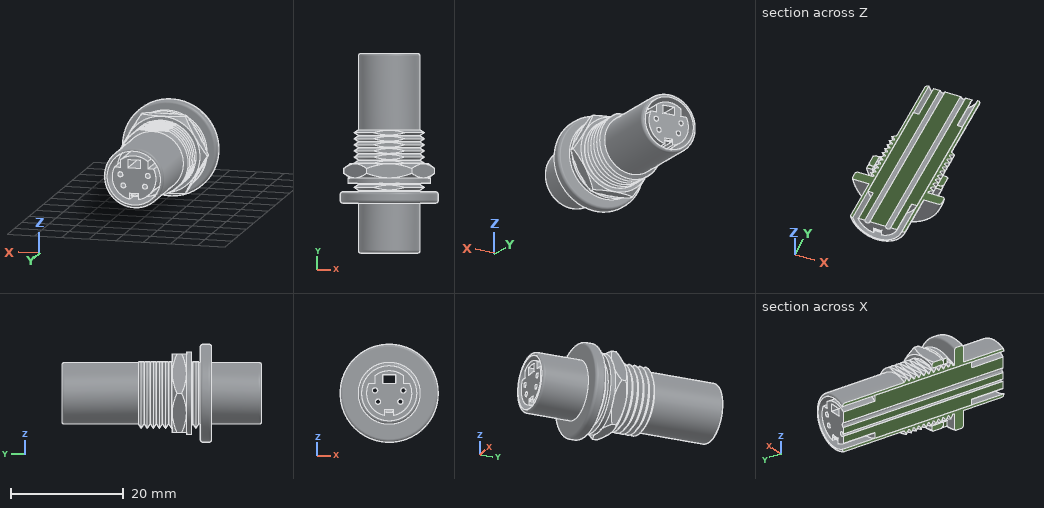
import cadquery as cq
import math


LENGTH = 35.55
TUBE_RADIUS = 5.5
RIM_FILLET = 0.5
RIM_FLAT = 0.1
BORE_RADIUS = TUBE_RADIUS - RIM_FILLET - RIM_FLAT

FLANGE_RADIUS = 8.75
FLANGE_FRONT = 8.9
FLANGE_THICKNESS = 2.05
FLANGE_FILLET = 0.55

THREAD_RADIUS = 6.25
RING_COUNT = 10
FIRST_CREST = 11.7
LAST_CREST = 21.45
THREAD_PITCH = (LAST_CREST - FIRST_CREST) / (RING_COUNT - 1)
RING_HALF_WIDTH = 0.5
THREAD_FLAT_HEIGHT = 5.62

WASHER_FRONT = 12.45
WASHER_THICKNESS = 0.92
WASHER_RADIUS = 7.35
NUT_FRONT = WASHER_FRONT + WASHER_THICKNESS
NUT_THICKNESS = 2.55
NUT_ACROSS_FLATS = 14.0
NUT_FACE_RADIUS = 6.97
NUT_CORNER_RADIUS = NUT_ACROSS_FLATS / math.sqrt(3)
NUT_CORNER_EDGE = 0.85

SOCKET_DEPTH = 7.1
CORE_RADIUS = 4.02
CORE_RECESS = 0.2
SHOULDER_X = 2.52
SHOULDER_Z = 1.78
KEYWAY_WIDTH = 1.6
KEYWAY_TOP = -2.85
TAB_WIDTH = 1.17
TAB_THICKNESS = 0.2
TAB_TOP = -3.15
TAB_RECESS = 0.3
WINDOW_WIDTH = 2.28
WINDOW_HEIGHT = 1.5
PIN_HOLE_DIAMETER = 0.9
PIN_HOLE_CENTRES = [(-2.52, 0.5), (2.52, 0.5), (-2.0, -1.5), (2.0, -1.5)]


def section(y):
    """Workplane across the axis at y: local x is X, local y is Z, extrusion runs to +Y."""
    return cq.Workplane(cq.Plane(origin=(0, y, 0), xDir=(1, 0, 0), normal=(0, -1, 0)))


def disc(radius, start, length):
    return section(start).circle(radius).extrude(-length)


def block(x_min, x_max, z_min, z_max, start, length):
    centre = ((x_min + x_max) / 2, (z_min + z_max) / 2)
    return section(start).center(*centre).rect(x_max - x_min, z_max - z_min).extrude(-length)


def revolve_about_axis(points):
    """Turn an outline of (radius, y) points about the Y axis."""
    return cq.Workplane("XY").polyline(points).close().revolve(360, (0, 0, 0), (0, 1, 0))


def make_thread():
    outline = [(BORE_RADIUS, FIRST_CREST - RING_HALF_WIDTH)]
    for ring in range(RING_COUNT):
        crest = FIRST_CREST + ring * THREAD_PITCH
        outline += [
            (TUBE_RADIUS, crest - RING_HALF_WIDTH),
            (THREAD_RADIUS, crest),
            (TUBE_RADIUS, crest + RING_HALF_WIDTH),
        ]
    outline.append((BORE_RADIUS, outline[-1][1]))
    above_flat = block(-THREAD_RADIUS, THREAD_RADIUS, THREAD_FLAT_HEIGHT, 2 * THREAD_RADIUS, 0, LENGTH)
    return revolve_about_axis(outline).cut(above_flat)


def make_housing():
    tube = disc(TUBE_RADIUS, 0, LENGTH).edges().fillet(RIM_FILLET)
    flange = disc(FLANGE_RADIUS, FLANGE_FRONT, FLANGE_THICKNESS).edges().fillet(FLANGE_FILLET)
    bore = disc(BORE_RADIUS, 0, LENGTH)
    return tube.union(flange).union(make_thread()).cut(bore)


def make_washer():
    hole = disc(THREAD_RADIUS, WASHER_FRONT, WASHER_THICKNESS)
    return disc(WASHER_RADIUS, WASHER_FRONT, WASHER_THICKNESS).cut(hole)


def make_nut():
    hexagon = section(NUT_FRONT).polygon(6, 2 * NUT_CORNER_RADIUS).extrude(-NUT_THICKNESS)
    back = NUT_FRONT + NUT_THICKNESS
    chamfer_height = (NUT_THICKNESS - NUT_CORNER_EDGE) / 2
    chamfered_ring = revolve_about_axis([
        (THREAD_RADIUS, NUT_FRONT),
        (NUT_FACE_RADIUS, NUT_FRONT),
        (NUT_CORNER_RADIUS, NUT_FRONT + chamfer_height),
        (NUT_CORNER_RADIUS, back - chamfer_height),
        (NUT_FACE_RADIUS, back),
        (THREAD_RADIUS, back),
    ])
    return hexagon.intersect(chamfered_ring)


def make_core():
    """Keyed core at the front end, with its shoulders and keyway cut to the socket floor."""
    length = SOCKET_DEPTH - CORE_RECESS
    core = disc(CORE_RADIUS, CORE_RECESS, length)
    for x_min, x_max in [(-CORE_RADIUS, -SHOULDER_X), (SHOULDER_X, CORE_RADIUS)]:
        core = core.cut(block(x_min, x_max, SHOULDER_Z, CORE_RADIUS, CORE_RECESS, length))
    half_keyway = KEYWAY_WIDTH / 2
    core = core.cut(block(-half_keyway, half_keyway, -CORE_RADIUS, KEYWAY_TOP, CORE_RECESS, length))
    half_tab = TAB_WIDTH / 2
    tab_length = SOCKET_DEPTH - TAB_RECESS
    return core.union(block(-half_tab, half_tab, TAB_TOP - TAB_THICKNESS, TAB_TOP, TAB_RECESS, tab_length))


def make_insert():
    web = disc(BORE_RADIUS, SOCKET_DEPTH, LENGTH - 2 * SOCKET_DEPTH)
    front_core = make_core()
    rear_core = front_core.mirror("XZ", (0, LENGTH / 2, 0))
    half_window = WINDOW_WIDTH / 2
    window = block(-half_window, half_window, SHOULDER_Z, SHOULDER_Z + WINDOW_HEIGHT, 0, LENGTH)
    pin_holes = section(0).pushPoints(PIN_HOLE_CENTRES).circle(PIN_HOLE_DIAMETER / 2).extrude(-LENGTH)
    return web.union(front_core).union(rear_core).cut(window).cut(pin_holes)


housing = make_housing()
insert = make_insert()
washer = make_washer()
nut = make_nut()

bodies = [housing, insert, washer, nut]
result = cq.Compound.makeCompound([body.solids().val() for body in bodies])